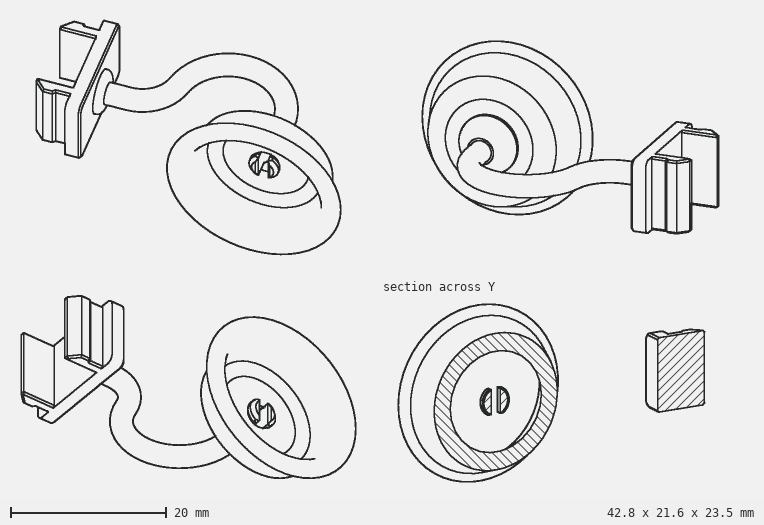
import cadquery as cq
import math


plate_width = 16.0
plate_height = 10.0
plate_thickness = 2.1
plate_corner_radius = 1.0
plate_edge_chamfer = 0.25

clip_length = 4.9
clip_inner_y = 4.4
clip_neck_thickness = 1.55
clip_hook_thickness = 1.9
clip_tip_thickness = 0.55
clip_hook_length = 2.65
clip_edge_chamfer = 0.25

arm_radius = 1.5
flange_radius = 3.0
flange_thickness = 1.0
flange_fillet = 0.95
first_bend_x = 3.85
second_bend_radius = 7.5
second_bend_center_y = 2.5
shade_axis_x = 24.0

cap_height = 3.0
cap_cone_height = 2.55
cap_top_radius = 1.8
cap_base_radius = 4.0

shade_wall = 1.5
shade_flat_radius = 6.05
shade_shoulder_radius = 8.9
shade_shoulder_drop = 1.0
shade_mouth_radius = 10.47
shade_side_height = 4.57
rim_radius = 11.75
rim_thickness = 1.5
rim_round = rim_thickness / 2

pin_radius = 1.8
pin_half_thickness = 1.65
barb_radius = 2.0
barb_play = 0.35
barb_land = 0.5
barb_taper = 0.5
slot_width = 1.33
slot_lead_in = 0.3

shade_top_y = -cap_height
shade_shoulder_y = shade_top_y - shade_shoulder_drop
rim_back_y = shade_shoulder_y - shade_side_height
rim_front_y = rim_back_y - rim_thickness
shade_floor_y = shade_top_y - shade_wall
barb_back_y = shade_floor_y - barb_play
pin_tip_y = barb_back_y - barb_land - barb_taper


def revolve_about_shade_axis(profile):
    """Revolve a closed XY profile, drawn with its axis on X = 0, and move it onto the shade's axis."""
    return profile.revolve(360, (0, 0), (0, 1)).translate((shade_axis_x, 0, 0))


def make_plate():
    return (
        cq.Workplane("YZ")
        .rect(plate_width, plate_height)
        .extrude(-plate_thickness)
        .edges("|X")
        .fillet(plate_corner_radius)
        .faces(">X")
        .chamfer(plate_edge_chamfer)
    )


def make_clip():
    """Clip on the +Y side, with its hook facing outward."""
    root_x = -plate_thickness
    tip_x = root_x - clip_length
    ramp = clip_hook_thickness - clip_tip_thickness
    step = clip_hook_thickness - clip_neck_thickness
    hook_y = clip_inner_y + clip_hook_thickness
    neck_y = clip_inner_y + clip_neck_thickness
    hook_end_x = tip_x + clip_hook_length
    return (
        cq.Workplane("XY")
        .moveTo(root_x, clip_inner_y)
        .lineTo(tip_x, clip_inner_y)
        .lineTo(tip_x, clip_inner_y + clip_tip_thickness)
        .lineTo(tip_x + ramp, hook_y)
        .lineTo(hook_end_x, hook_y)
        .lineTo(hook_end_x + step, neck_y)
        .lineTo(root_x, neck_y)
        .close()
        .extrude(plate_height / 2, both=True)
        .faces("|Z")
        .edges("not >X")
        .chamfer(clip_edge_chamfer)
    )


def make_flange():
    return (
        cq.Workplane("YZ")
        .circle(flange_radius)
        .extrude(flange_thickness)
        .faces(">X")
        .edges()
        .fillet(flange_fillet)
    )


def make_arm():
    """Round rod: straight stub, S-bend of two tangent arcs, straight drop to the cap."""
    second_center_x = shade_axis_x - second_bend_radius
    run = second_center_x - first_bend_x
    rise = second_bend_center_y
    first_bend_radius = (run**2 + rise**2 - second_bend_radius**2) / (2 * (rise + second_bend_radius))
    bend_angle = math.atan2(run, first_bend_radius - rise)

    joint_x = first_bend_x + first_bend_radius * math.sin(bend_angle)
    joint_y = first_bend_radius * (1 - math.cos(bend_angle))
    path = (
        cq.Workplane("XY")
        .lineTo(first_bend_x, 0)
        .threePointArc(
            (
                first_bend_x + first_bend_radius * math.sin(bend_angle / 2),
                first_bend_radius * (1 - math.cos(bend_angle / 2)),
            ),
            (joint_x, joint_y),
        )
        .threePointArc(
            (second_center_x, second_bend_center_y + second_bend_radius),
            (shade_axis_x, second_bend_center_y),
        )
        .lineTo(shade_axis_x, 0)
    )
    return cq.Workplane("YZ").circle(arm_radius).sweep(path)


def make_cap():
    profile = cq.Workplane("XY").polyline(
        [
            (0, 0),
            (cap_top_radius, 0),
            (cap_base_radius, -cap_cone_height),
            (cap_base_radius, -cap_height),
            (0, -cap_height),
        ]
    ).close()
    return revolve_about_shade_axis(profile)


def make_pin():
    """Pin through the shade with a tapered barb, flattened on both Z sides."""
    profile = (
        cq.Workplane("XY")
        .moveTo(0, shade_top_y)
        .lineTo(pin_radius, shade_top_y)
        .lineTo(pin_radius, barb_back_y)
        .lineTo(barb_radius, barb_back_y)
        .lineTo(barb_radius, barb_back_y - barb_land)
        .lineTo(barb_radius - barb_taper, pin_tip_y)
        .lineTo(0, pin_tip_y)
        .close()
    )
    flats = (
        cq.Workplane("XY")
        .center(shade_axis_x, (shade_top_y + pin_tip_y) / 2)
        .rect(2 * barb_radius, shade_top_y - pin_tip_y)
        .extrude(pin_half_thickness, both=True)
    )
    return revolve_about_shade_axis(profile).intersect(flats)


def make_slot():
    """Slot through the pin along Z, beveled at the tip, its round floor reaching the cap's base."""
    half_width = slot_width / 2
    mouth_half_width = half_width + slot_lead_in
    lead_in_y = pin_tip_y + slot_lead_in
    floor_start_y = shade_top_y - half_width
    return (
        cq.Workplane("XY")
        .moveTo(-mouth_half_width, pin_tip_y)
        .lineTo(-half_width, lead_in_y)
        .lineTo(-half_width, floor_start_y)
        .threePointArc((0, shade_top_y), (half_width, floor_start_y))
        .lineTo(half_width, lead_in_y)
        .lineTo(mouth_half_width, pin_tip_y)
        .close()
        .extrude(pin_half_thickness, both=True)
        .translate((shade_axis_x, 0, 0))
    )


def make_bracket():
    clip = make_clip()
    return (
        make_plate()
        .union(clip)
        .union(clip.mirror("XZ"))
        .union(make_flange())
        .union(make_arm())
        .union(make_cap())
        .union(make_pin())
        .cut(make_slot())
    )


def make_shade():
    """Bowl of even wall thickness with a round-edged rim and a hole for the pin."""
    crown_angle = math.atan2(shade_shoulder_drop, shade_shoulder_radius - shade_flat_radius)
    side_angle = math.atan2(shade_side_height, shade_mouth_radius - shade_shoulder_radius)

    floor_radius = shade_flat_radius - shade_wall * math.tan(crown_angle / 2)
    corner_offset = shade_wall / math.cos((side_angle - crown_angle) / 2)
    corner_direction = (side_angle + crown_angle) / 2
    inner_shoulder_radius = shade_shoulder_radius - corner_offset * math.sin(corner_direction)
    inner_shoulder_y = shade_shoulder_y - corner_offset * math.cos(corner_direction)
    inner_mouth_radius = inner_shoulder_radius + (inner_shoulder_y - rim_front_y) / math.tan(side_angle)

    inner_round_length = rim_round * math.tan(side_angle / 2)
    face_inner_radius = inner_mouth_radius + inner_round_length
    round_center_y = rim_front_y + rim_round
    round_start = (
        face_inner_radius - rim_round * math.sin(side_angle),
        round_center_y - rim_round * math.cos(side_angle),
    )
    round_middle = (
        face_inner_radius - rim_round * math.sin(side_angle / 2),
        round_center_y - rim_round * math.cos(side_angle / 2),
    )

    rim_flat_radius = rim_radius - rim_round
    profile = (
        cq.Workplane("XY")
        .moveTo(pin_radius, shade_top_y)
        .lineTo(shade_flat_radius, shade_top_y)
        .lineTo(shade_shoulder_radius, shade_shoulder_y)
        .lineTo(shade_mouth_radius, rim_back_y)
        .lineTo(rim_flat_radius, rim_back_y)
        .threePointArc((rim_radius, round_center_y), (rim_flat_radius, rim_front_y))
        .lineTo(face_inner_radius, rim_front_y)
        .threePointArc(round_middle, round_start)
        .lineTo(inner_shoulder_radius, inner_shoulder_y)
        .lineTo(floor_radius, shade_floor_y)
        .lineTo(pin_radius, shade_floor_y)
        .close()
    )
    return revolve_about_shade_axis(profile)


bracket = make_bracket()
shade = make_shade()

result = cq.Compound.makeCompound([bracket.solids().val(), shade.solids().val()])